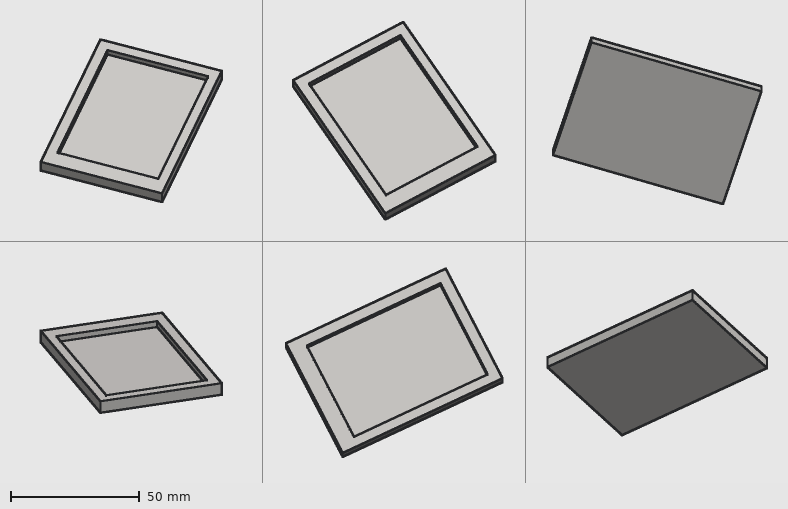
import cadquery as cq

width = 50.0
length = 69.2
thickness = 5.0

left_rim = 4.5
right_rim = 4.0
back_rim = 4.5
front_rim = 6.85
pocket_depth = 2.5

pocket_width = width - left_rim - right_rim
pocket_length = length - front_rim - back_rim
floor_height = thickness - pocket_depth

plate = cq.Workplane("XY").box(width, length, thickness, centered=False)

pocket = (
    cq.Workplane("XY")
    .box(pocket_width, pocket_length, pocket_depth, centered=False)
    .translate((left_rim, front_rim, floor_height))
)

result = plate.cut(pocket)